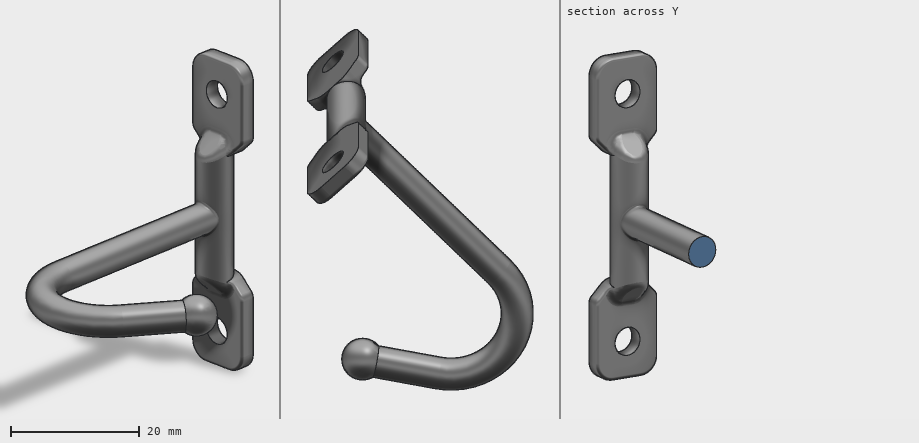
import cadquery as cq
import math

tab_width = 11.0
tab_thickness = 2.5
tab_outer_z = 26.0
tab_inner_z = 10.0
tab_taper = 3.0
tab_corner_radius = 3.0
tab_shoulder_radius = 1.5
tab_rim_radius = 0.5
hole_diameter = 4.5
hole_z = 20.0

post_diameter = 6.0
post_front_z = 10.25
post_end_radius = 1.5
post_tab_fillet = 1.2

rod_diameter = 5.0
rod_post_fillet = 0.5
bend_radius = 10.25
bend_angle = 145.0
bend_start_y = -37.25
tip_length = 12.0
ball_diameter = 6.5

post_radius = post_diameter / 2
tab_half_width = tab_width / 2
inner_half_width = tab_half_width - tab_taper
shoulder_z = tab_inner_z + tab_taper
tab_face_y = -tab_thickness


def post_blank(length):
    """Full round post standing on the plane Z = 0."""
    return cq.Workplane("XY").center(0, -post_radius).circle(post_radius).extrude(length)


def front_of_tab(body):
    """The part of a body that lies in front of the tab faces."""
    space = cq.Workplane("XY").box(
        tab_width, post_diameter, 2 * tab_outer_z, centered=(True, False, True)
    )
    return body.intersect(space.translate((0, tab_face_y - post_diameter, 0)))


def make_post_front():
    """Upper half of the post in front of the tab face, with its rounded 45 degree end."""
    post = front_of_tab(post_blank(tab_outer_z))
    remainder = (
        cq.Workplane("YZ")
        .moveTo(-post_diameter, post_front_z)
        .line(post_diameter, post_diameter)
        .lineTo(0, tab_outer_z)
        .lineTo(-post_diameter, tab_outer_z)
        .close()
        .extrude(post_radius, both=True)
    )
    post = post.cut(remainder)
    return post.edges("%ELLIPSE").fillet(post_end_radius)


def make_tab_prism():
    """Outline of the upper tab, extruded far enough forward to enclose the post."""
    right_side = [
        (tab_half_width, tab_outer_z),
        (tab_half_width, shoulder_z),
        (inner_half_width, tab_inner_z),
    ]
    left_side = [(-x, z) for x, z in reversed(right_side)]
    prism = cq.Workplane("XZ").polyline(right_side + left_side).close().extrude(post_diameter)
    upright = prism.edges("|Y")
    prism = prism.newObject(upright.edges(">Z or <Z").vals()).fillet(tab_corner_radius)
    shoulders = prism.edges("|Y").edges(
        cq.selectors.BoxSelector(
            (-tab_width, -tab_width, shoulder_z - tab_rim_radius),
            (tab_width, tab_width, shoulder_z + tab_rim_radius),
        )
    )
    return shoulders.fillet(tab_shoulder_radius)


def make_tab(post_front):
    """Upper tab with its filleted transition into the post."""
    slab = (
        cq.Workplane("XY")
        .box(2 * tab_width, tab_thickness, tab_outer_z, centered=(True, False, False))
        .translate((0, tab_face_y, 0))
    )
    slab = slab.union(cq.Workplane("XY").box(
        2 * tab_width, tab_thickness, tab_width, centered=(True, False, False)
    ).translate((0, tab_face_y, tab_outer_z)))
    body = slab.union(post_front)
    junction = body.edges(
        cq.selectors.BoxSelector(
            (-post_radius, tab_face_y - 0.01, 0.01),
            (post_radius, tab_face_y + 0.01, tab_outer_z - 0.01),
        )
    )
    body = junction.fillet(post_tab_fillet)
    tab = body.intersect(make_tab_prism())
    tab = tab.edges("|X and >Z").edges("<Y").fillet(tab_rim_radius)
    hole = cq.Workplane("XZ").center(0, hole_z).circle(hole_diameter / 2).extrude(tab_thickness)
    return tab.cut(hole)


def make_bracket():
    """Post with a tab at each end."""
    post_front = make_post_front()
    post_back = post_blank(shoulder_z).cut(front_of_tab(post_blank(shoulder_z)))
    upper_half = post_front.union(post_back).union(make_tab(post_front))
    return upper_half.union(upper_half.mirror("XY"))


def make_hook():
    """Bent rod and its ball end."""
    angle = math.radians(bend_angle)

    def on_bend(turned):
        x = bend_radius * (1 - math.cos(turned))
        y = bend_start_y - bend_radius * math.sin(turned)
        return x, y

    end_x, end_y = on_bend(angle)
    ball_x = end_x + tip_length * math.sin(angle)
    ball_y = end_y - tip_length * math.cos(angle)
    path = (
        cq.Workplane("XY")
        .moveTo(0, -post_radius)
        .lineTo(0, bend_start_y)
        .threePointArc(on_bend(angle / 2), (end_x, end_y))
        .lineTo(ball_x, ball_y)
    )
    rod = cq.Workplane("XZ", origin=(0, -post_radius, 0)).circle(rod_diameter / 2).sweep(path)
    ball = cq.Workplane("XY").sphere(ball_diameter / 2).translate((ball_x, ball_y, 0))
    return rod.union(ball)


def join_hook(bracket, hook):
    """Join the hook to the post and fillet the seam between them."""
    body = bracket.union(hook)
    seam = body.edges(
        cq.selectors.BoxSelector(
            (-post_radius, -post_diameter - 0.01, -post_radius),
            (post_radius, -post_radius, post_radius),
            boundingbox=True,
        )
    )
    return seam.fillet(rod_post_fillet)


result = join_hook(make_bracket(), make_hook())